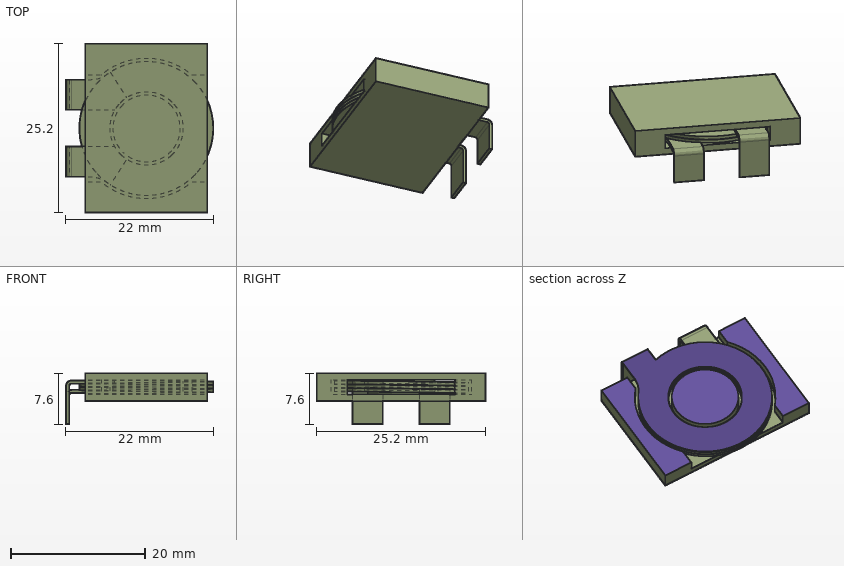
import cadquery as cq
import math

HOUSING_X = 18.25
HOUSING_Y = 25.2
HOUSING_Z = 4.15
WINDOW_Y = 16.0
WINDOW_BOTTOM = 1.0
WINDOW_TOP = 3.15
WINDOW_HEIGHT = WINDOW_TOP - WINDOW_BOTTOM
POST_RADIUS = 10.0 / 2

COIL_RADIUS = 10.0
STRIP_WIDTH = 4.54
STRIP_THICKNESS = 0.5
TURNS = 2.5
PITCH = 0.55
COIL_BOTTOM = 1.18
COIL_RISE = TURNS * PITCH
BORE_RADIUS = COIL_RADIUS - STRIP_WIDTH

CAVITY_RADIUS = COIL_RADIUS + (BORE_RADIUS - POST_RADIUS)

TERMINAL_Y = 5.0
TERMINAL_INNER_Y = TERMINAL_Y - STRIP_WIDTH / 2
TERMINAL_OUTER_Y = TERMINAL_Y + STRIP_WIDTH / 2
TERMINAL_FACE_X = -12.0
TERMINAL_BOTTOM = -3.45
BEND_INNER_RADIUS = 0.33
BEND_OUTER_RADIUS = BEND_INNER_RADIUS + STRIP_THICKNESS
BEND_X = TERMINAL_FACE_X + BEND_OUTER_RADIUS
ROOT_FILLET = 4.03

JOIN_TOLERANCE = 0.001


def polar_point(center, radius, angle):
    """Point at a radius and an angle (radians) around a center."""
    return (center[0] + radius * math.cos(angle), center[1] + radius * math.sin(angle))


def make_housing():
    """Block with a window through it along X, a round coil cavity and a central post."""
    block = cq.Workplane("XY").box(HOUSING_X, HOUSING_Y, HOUSING_Z, centered=(True, True, False))
    floor = cq.Workplane("XY").workplane(offset=WINDOW_BOTTOM)
    window = floor.rect(HOUSING_X, WINDOW_Y).extrude(WINDOW_HEIGHT)
    cavity = floor.circle(CAVITY_RADIUS).extrude(WINDOW_HEIGHT)
    post = floor.circle(POST_RADIUS).extrude(WINDOW_HEIGHT)
    return block.cut(window.union(cavity).cut(post))


def make_winding():
    """Left-handed helix of the strip, rising from its start at +Y to its end at -Y."""
    mean_radius = (COIL_RADIUS + BORE_RADIUS) / 2
    path = cq.Workplane(cq.Wire.makeHelix(PITCH, COIL_RISE, mean_radius, lefthand=True))
    section = cq.Workplane("XZ").center(mean_radius, 0).rect(STRIP_WIDTH, STRIP_THICKNESS)
    helix = section.sweep(path, isFrenet=True).rotate((0, 0, 0), (0, 0, 1), 90)
    return helix.translate((0, 0, COIL_BOTTOM + STRIP_THICKNESS / 2))


def make_lead(bottom):
    """Flat lead at +Y, from the bend to the strip end at X = 0."""
    fillet_center_y = TERMINAL_OUTER_Y + ROOT_FILLET
    fillet_center_x = -math.sqrt((COIL_RADIUS + ROOT_FILLET) ** 2 - fillet_center_y**2)
    fillet_center = (fillet_center_x, fillet_center_y)
    coil_center = (0, 0)
    strip_end_angle = math.pi / 2
    root_angle = math.atan2(fillet_center_y, fillet_center_x)
    fillet_middle_angle = ((root_angle - math.pi) - math.pi / 2) / 2

    base = cq.Workplane("XY").workplane(offset=bottom)
    lead = (
        base.moveTo(0, TERMINAL_INNER_Y)
        .lineTo(BEND_X, TERMINAL_INNER_Y)
        .lineTo(BEND_X, TERMINAL_OUTER_Y)
        .lineTo(fillet_center_x, TERMINAL_OUTER_Y)
        .threePointArc(
            polar_point(fillet_center, ROOT_FILLET, fillet_middle_angle),
            polar_point(coil_center, COIL_RADIUS, root_angle),
        )
        .threePointArc(
            polar_point(coil_center, COIL_RADIUS, (root_angle + strip_end_angle) / 2),
            (0, COIL_RADIUS),
        )
        .close()
        .extrude(STRIP_THICKNESS)
    )
    bore = base.circle(BORE_RADIUS).extrude(STRIP_THICKNESS)
    return lead.cut(bore)


def make_leg(bottom):
    """Bend at the end of the lead and the leg hanging down from it."""
    top = bottom + STRIP_THICKNESS
    inner_face_x = TERMINAL_FACE_X + STRIP_THICKNESS
    return (
        cq.Workplane("XZ", origin=(0, TERMINAL_OUTER_Y, 0))
        .moveTo(BEND_X, top)
        .radiusArc((TERMINAL_FACE_X, top - BEND_OUTER_RADIUS), -BEND_OUTER_RADIUS)
        .lineTo(TERMINAL_FACE_X, TERMINAL_BOTTOM)
        .lineTo(inner_face_x, TERMINAL_BOTTOM)
        .lineTo(inner_face_x, bottom - BEND_INNER_RADIUS)
        .radiusArc((BEND_X, bottom), BEND_INNER_RADIUS)
        .close()
        .extrude(STRIP_WIDTH)
    )


def make_terminal(bottom):
    """Terminal at +Y whose lead has its underside at the given height."""
    return make_lead(bottom).union(make_leg(bottom))


def make_coil():
    """Winding with the lower terminal at +Y and the upper one mirrored to -Y."""
    lower_terminal = make_terminal(COIL_BOTTOM)
    upper_terminal = make_terminal(COIL_BOTTOM + COIL_RISE).mirror("XZ")
    coil = make_winding()
    for terminal in (lower_terminal, upper_terminal):
        coil = coil.union(terminal, tol=JOIN_TOLERANCE)
    return coil


housing = make_housing()
coil = make_coil()

result = cq.Compound.makeCompound([housing.solids().val(), coil.solids().val()])